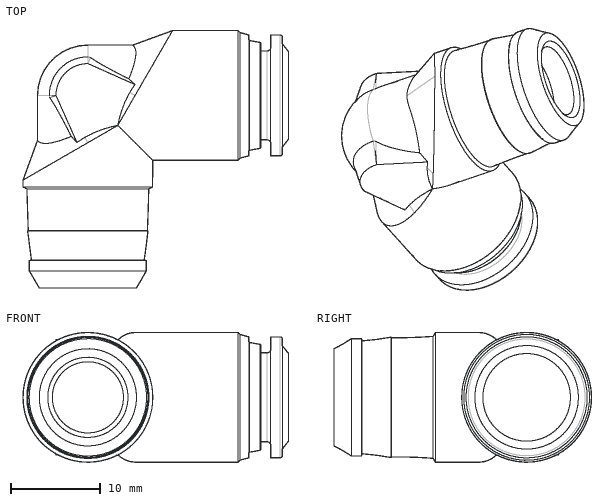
import cadquery as cq
import math

overall_x = 29.65
overall_y = 28.75
overall_z = 14.5
arm_radius = overall_z / 2
port_end = overall_x - arm_radius
stem_end = overall_y - arm_radius

elbow_radius = 5.63
elbow_reach = 7.4
pad_height = 6.43
pad_radius = 3.55
pad_side_angle = 24.0
pad_draft = 15.0
side_overrun = 0.6

shoulder_angle = 30.0
shoulder_draft = 50.0
shoulder_height = 3.55
pad_corner = math.sqrt(arm_radius**2 - pad_height**2)
shoulder_offset = pad_corner * (1 + math.tan(math.radians(shoulder_angle)))

step_bevel = 0.1

body_end = 16.75
cap_start, cap_start_radius = 17.0, 7.03
cap_end, cap_end_radius = 17.97, 6.75
ring_start_radius = 6.15
ring_end, ring_end_radius = 19.3, 5.93
neck_radius = 4.98
neck_fillet = 0.4
flange_start, flange_radius = 20.4, 6.75
flange_round = 0.25
flange_face = 21.7
nose_start_radius = 5.78
nose_end_radius = 4.9

collar_edge = 10.2
collar_end, stem_start_radius = 10.45, 6.82
stem_step, stem_step_radius = 15.15, 6.67
barb_start_radius = 6.73
barb_end, barb_end_radius = 18.45, 6.32
band_radius = 6.55
band_end = 19.57
stem_tip_radius = 5.43
bore_mouth_radius = 4.48
bore_radius = 3.97
bore_chamfer_depth = 0.5
bore_depth = 3.02


def turned(outline):
    """Close a half outline drawn in the XY plane and revolve it about the X axis."""
    return outline.close().revolve(360, (0, 0, 0), (1, 0, 0))


def half_outline(points):
    """Half outline from the axis through (distance, radius) points."""
    return cq.Workplane("XY").polyline([(points[0][0], 0), *points])


def shoulder_plane():
    """Plane closing the +X arm, with its normal toward the elbow."""
    lean = math.radians(shoulder_angle)
    return cq.Plane(
        origin=(shoulder_offset, 0, 0),
        xDir=(math.sin(lean), math.cos(lean), 0),
        normal=(-math.cos(lean), math.sin(lean), 0),
    )


def with_shoulder(arm):
    """Trim an arm lying along +X at the shoulder plane and add the drafted shoulder."""
    plane = shoulder_plane()
    trim_size = 4 * arm_radius
    trim = cq.Workplane(plane).rect(trim_size, trim_size).extrude(trim_size)
    half_length = arm_radius / math.cos(math.radians(shoulder_angle))
    shoulder = (
        cq.Workplane(plane)
        .ellipse(half_length, arm_radius)
        .extrude(shoulder_height, taper=shoulder_draft)
    )
    return arm.cut(trim).union(shoulder)


def port_arm():
    outline = (
        half_outline([
            (0, arm_radius),
            (body_end, arm_radius),
            (cap_start, cap_start_radius),
            (cap_end, cap_end_radius),
            (cap_end, ring_start_radius + step_bevel),
            (cap_end + step_bevel, ring_start_radius),
            (ring_end - step_bevel, ring_end_radius),
            (ring_end, ring_end_radius - step_bevel),
            (ring_end, neck_radius),
            (flange_start - neck_fillet, neck_radius),
        ])
        .radiusArc((flange_start, neck_radius + neck_fillet), -neck_fillet)
        .lineTo(flange_start, flange_radius)
        .lineTo(flange_face - flange_round, flange_radius)
        .radiusArc((flange_face, flange_radius - flange_round), flange_round)
        .lineTo(flange_face, nose_start_radius)
        .lineTo(port_end, nose_end_radius)
        .lineTo(port_end, 0)
    )
    return with_shoulder(turned(outline))


def stem_arm():
    outline = half_outline([
        (0, arm_radius),
        (collar_edge, arm_radius),
        (collar_end, stem_start_radius),
        (stem_step - step_bevel, stem_step_radius),
        (stem_step, barb_start_radius),
        (barb_end - step_bevel, barb_end_radius),
        (barb_end, band_radius),
        (band_end, band_radius),
        (stem_end, stem_tip_radius),
        (stem_end, 0),
    ])
    bore = half_outline([
        (stem_end - bore_depth, bore_radius),
        (stem_end - bore_chamfer_depth, bore_radius),
        (stem_end, bore_mouth_radius),
        (stem_end, 0),
    ])
    arm = with_shoulder(turned(outline)).cut(turned(bore))
    return arm.rotate((0, 0, 0), (1, -1, 0), 180)


def elbow():
    leg_x = cq.Workplane("YZ").circle(elbow_radius).extrude(elbow_reach)
    leg_y = cq.Workplane("XZ").circle(elbow_radius).extrude(elbow_reach)
    return cq.Workplane("XY").sphere(elbow_radius).union(leg_x).union(leg_y)


def pad():
    """Flat pad on the +Z side, its walls spreading down to the arm plane."""
    side_end = shoulder_offset + side_overrun
    side_drop = side_end * math.tan(math.radians(pad_side_angle))
    side_y = pad_radius - side_drop
    mid_arc = pad_radius * math.sqrt(0.5)
    return (
        cq.Workplane("XY", origin=(0, 0, pad_height))
        .moveTo(-pad_radius, 0)
        .threePointArc((-mid_arc, mid_arc), (0, pad_radius))
        .lineTo(side_end, side_y)
        .lineTo(pad_corner, -pad_corner)
        .lineTo(-side_y, -side_end)
        .close()
        .extrude(-pad_height, taper=-pad_draft)
    )


body = elbow().union(port_arm()).union(stem_arm())
top_pad = pad()
result = body.union(top_pad).union(top_pad.mirror("XY"))